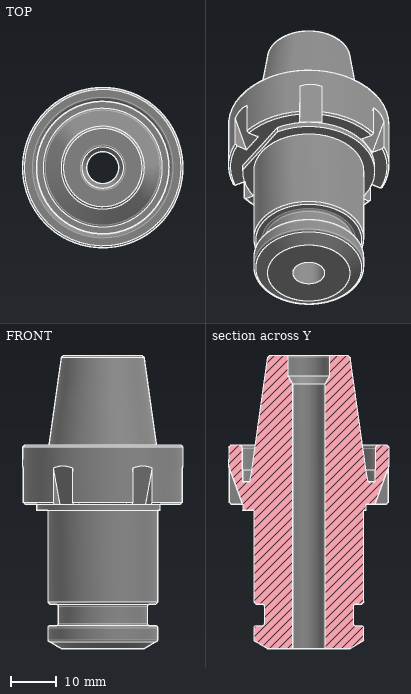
import cadquery as cq
import math

total_height = 64.0
nut_diameter = 35.0
nut_bottom = 31.5
nut_top = 44.5
nut_chamfer = 0.45
nut_bore_diameter = 29.0
nut_bore_lower_diameter = 28.8
nut_bore_step = 39.05
nut_ledge = 36.5
nut_bore_fillet = 0.8

slot_count = 6
slot_width = 4.85
slot_top = 39.9
slot_floor_angle = 20.0

nose_tip_diameter = 18.0
nose_angle = 8.0
nose_chamfer = 0.45
nose_foot_diameter = 25.9
nose_foot_height = 2.25

lip_diameter = 28.8
lip_bottom = 30.2
lip_flat = 12.5

shank_diameter = 24.0
shank_bottom = 9.7
shank_chamfer = 0.45
neck_diameter = 19.5
neck_fillet = 0.45
selection_margin = 0.05
collar_top = 5.05
collar_fillet = 0.45
collar_edge = 1.55
end_diameter = 18.0

bore_diameter = 6.9
counterbore_diameter = 9.0
counterbore_depth = 4.5
counterbore_fillet = 0.4
counterbore_floor_angle = 30.0


def cylinder(diameter, bottom, top):
    return cq.Workplane("XY").workplane(offset=bottom).circle(diameter / 2).extrude(top - bottom)


def make_nut():
    nut = cylinder(nut_diameter, nut_bottom, nut_top).edges().chamfer(nut_chamfer)
    nut = nut.cut(cylinder(nut_bore_lower_diameter, nut_ledge, nut_bore_step))
    nut = nut.cut(cylinder(nut_bore_diameter, nut_bore_step, nut_top))
    innermost_edge = cq.selectors.RadiusNthSelector(0)
    nut = nut.faces(">Z").edges(innermost_edge).fillet(nut_bore_fillet)
    for index in range(slot_count):
        nut = nut.cut(make_slot().rotate((0, 0, 0), (0, 0, 1), index * 360 / slot_count))
    return nut


def make_slot():
    """Wedge open to the rim and the underside, with a sloping floor."""
    rim = nut_diameter / 2
    depth = (slot_top - nut_bottom) * math.tan(math.radians(slot_floor_angle))
    return (
        cq.Workplane("XZ")
        .moveTo(rim, slot_top)
        .lineTo(rim - depth, nut_bottom)
        .lineTo(nut_diameter, nut_bottom)
        .lineTo(nut_diameter, slot_top)
        .close()
        .extrude(slot_width / 2, both=True)
    )


def make_nose():
    tip = nose_tip_diameter / 2
    foot = nose_foot_diameter / 2
    foot_top = nut_ledge + nose_foot_height
    slope = math.tan(math.radians(nose_angle))
    return (
        cq.Workplane("XZ")
        .moveTo(0, nut_ledge)
        .lineTo(foot, nut_ledge)
        .lineTo(tip + (total_height - foot_top) * slope, foot_top)
        .lineTo(tip, total_height)
        .lineTo(0, total_height)
        .close()
        .revolve(360, (0, 0), (0, 1))
        .faces(">Z")
        .chamfer(nose_chamfer)
    )


def make_lip():
    flat_side = cq.Workplane("XY").box(lip_diameter, lip_diameter, total_height, centered=(False, True, False))
    return cylinder(lip_diameter, lip_bottom, nut_bottom).cut(flat_side.translate((lip_flat, 0, 0)))


def make_shank():
    shank = cylinder(shank_diameter, shank_bottom, nut_bottom).faces("<Z").chamfer(shank_chamfer)
    collar = cylinder(shank_diameter, collar_edge, collar_top).edges().fillet(collar_fillet)
    end_cone = (
        cq.Workplane("XY")
        .circle(end_diameter / 2)
        .workplane(offset=collar_edge)
        .circle(shank_diameter / 2 - collar_fillet)
        .loft()
    )
    neck = cylinder(neck_diameter, collar_top, shank_bottom)
    spindle = shank.union(neck).union(collar).union(end_cone)
    neck_ends = cq.selectors.BoxSelector(
        (-shank_diameter, -shank_diameter, collar_top - selection_margin),
        (shank_diameter, shank_diameter, shank_bottom + selection_margin),
    )
    return spindle.edges(neck_ends).edges(cq.selectors.RadiusNthSelector(0)).fillet(neck_fillet)


def make_bore():
    """Cutting body: through hole, counterbore with a conical floor and a rounded mouth."""
    hole = bore_diameter / 2
    wall = counterbore_diameter / 2
    wall_bottom = total_height - counterbore_depth
    cone_height = (wall - hole) / math.tan(math.radians(counterbore_floor_angle))
    diagonal = counterbore_fillet * (1 - math.sqrt(0.5))
    return (
        cq.Workplane("XZ")
        .lineTo(hole, 0)
        .lineTo(hole, wall_bottom - cone_height)
        .lineTo(wall, wall_bottom)
        .lineTo(wall, total_height - counterbore_fillet)
        .threePointArc(
            (wall + diagonal, total_height - diagonal),
            (wall + counterbore_fillet, total_height),
        )
        .lineTo(0, total_height)
        .close()
        .revolve(360, (0, 0), (0, 1))
    )


result = make_nut().union(make_nose()).union(make_lip()).union(make_shank()).cut(make_bore())